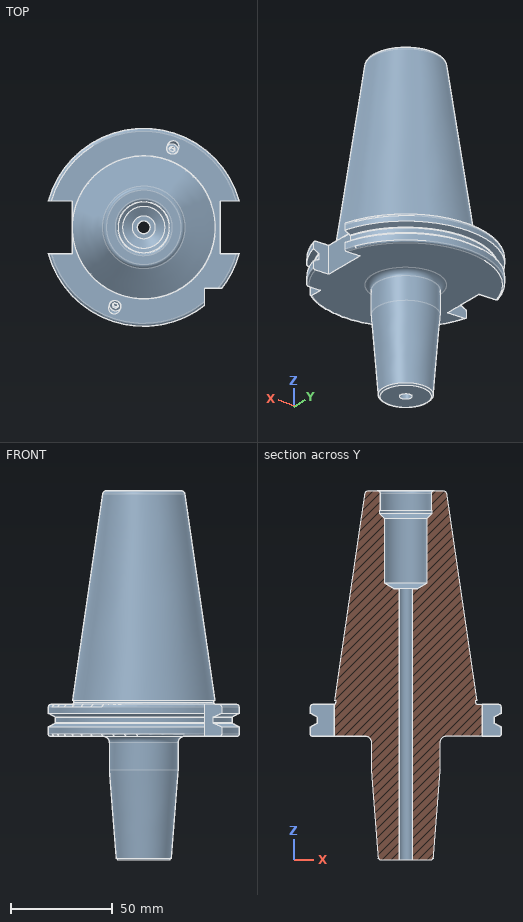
import cadquery as cq
import math

match_tolerance = 0.02

taper_length = 101.8
nose_length = 80.0
flange_top = -3.3
flange_bottom = -19.0
groove_middle = -11.0
neck_top = -1.5
cylinder_bottom = -35.6

gauge_radius = 34.9
taper_slope = 7 / 48
taper_end_fillet = 2.0
neck_radius = 34.5
neck_fillet = 0.7

flange_radius = 48.7
flange_top_fillet = 1.5
flange_bottom_fillet = 1.0
groove_depth = 3.3
groove_mouth_width = 6.7
groove_flank_angle = 30
groove_floor_fillet = 0.4

nose_root_radius = 34.0 / 2
nose_end_radius = 27.0 / 2
nose_root_fillet = 3.0
nose_end_chamfer = 0.9

slot_width = 25.8
slot_floor_left = 35.3
slot_floor_right = 37.6
notch_corner = 30.0

mouth_fillet = 1.5
pilot_radius = 12.5
pilot_depth = 9.8
relief_radius = 12.9
relief_width = 1.5
thread_radius = 10.4
thread_depth = 45.5
drill_radius = 5.6
through_radius = 3.0
drill_point_angle = 59

port_circle_radius = 41.8
port_angles = (70, 250)
port_tilt = 30
port_diameter = 5.8
port_depth = 1.6
plug_socket_size = 3.0
plug_socket_depth = 1.6


def taper_radius(z):
    return gauge_radius - taper_slope * z


def is_ring(edge, radius, z):
    """Whether an edge is the circle of the given radius at height z."""
    if edge.geomType() != "CIRCLE":
        return False
    same_radius = math.isclose(edge.radius(), radius, abs_tol=match_tolerance)
    same_height = math.isclose(edge.Center().z, z, abs_tol=match_tolerance)
    return same_radius and same_height


def make_body():
    groove_half_mouth = groove_mouth_width / 2
    groove_half_floor = groove_half_mouth - groove_depth * math.tan(math.radians(groove_flank_angle))
    groove_radius = flange_radius - groove_depth
    profile = (
        cq.Workplane("XZ")
        .moveTo(0, taper_length)
        .lineTo(taper_radius(taper_length), taper_length)
        .lineTo(taper_radius(neck_top), neck_top)
        .lineTo(neck_radius, neck_top)
        .lineTo(neck_radius, flange_top)
        .lineTo(flange_radius, flange_top)
        .lineTo(flange_radius, groove_middle + groove_half_mouth)
        .lineTo(groove_radius, groove_middle + groove_half_floor)
        .lineTo(groove_radius, groove_middle - groove_half_floor)
        .lineTo(flange_radius, groove_middle - groove_half_mouth)
        .lineTo(flange_radius, flange_bottom)
        .lineTo(nose_root_radius, flange_bottom)
        .lineTo(nose_root_radius, cylinder_bottom)
        .lineTo(nose_end_radius, -nose_length)
        .lineTo(0, -nose_length)
        .close()
    )
    body = profile.revolve(360, (0, 0, 0), (0, 1, 0))
    for radius, z, fillet in (
        (taper_radius(taper_length), taper_length, taper_end_fillet),
        (neck_radius, flange_top, neck_fillet),
        (flange_radius, flange_top, flange_top_fillet),
        (groove_radius, groove_middle + groove_half_floor, groove_floor_fillet),
        (groove_radius, groove_middle - groove_half_floor, groove_floor_fillet),
        (flange_radius, flange_bottom, flange_bottom_fillet),
        (nose_root_radius, flange_bottom, nose_root_fillet),
    ):
        ring = [edge for edge in body.edges().vals() if is_ring(edge, radius, z)]
        body = body.newObject(ring).fillet(fillet)
    return body.faces("<Z").edges().chamfer(nose_end_chamfer)


def make_bore():
    relief_bottom = taper_length - pilot_depth - relief_width
    step_cone_length = relief_radius - thread_radius
    point_length = (thread_radius - drill_radius) / math.tan(math.radians(drill_point_angle))
    profile = (
        cq.Workplane("XZ")
        .moveTo(0, taper_length)
        .lineTo(pilot_radius + mouth_fillet, taper_length)
        .radiusArc((pilot_radius, taper_length - mouth_fillet), -mouth_fillet)
        .lineTo(pilot_radius, taper_length - pilot_depth)
        .lineTo(relief_radius, taper_length - pilot_depth)
        .lineTo(relief_radius, relief_bottom)
        .lineTo(thread_radius, relief_bottom - step_cone_length)
        .lineTo(thread_radius, taper_length - thread_depth)
        .lineTo(drill_radius, taper_length - thread_depth - point_length)
        .lineTo(through_radius, taper_length - thread_depth - point_length)
        .lineTo(through_radius, -nose_length)
        .lineTo(0, -nose_length)
        .close()
    )
    return profile.revolve(360, (0, 0, 0), (0, 1, 0))


def make_flange_cut(center_x, center_y, width_y):
    """A block cutting through the full thickness of the flange."""
    block = cq.Workplane("XY", origin=(center_x, center_y, flange_bottom))
    return block.rect(flange_radius, width_y).extrude(flange_top - flange_bottom)


def make_port(angle):
    """A blind hole leaning toward the axis, with a hexagon socket in its floor."""
    tilt = math.radians(port_tilt)
    plane = cq.Plane(
        origin=(port_circle_radius, 0, flange_top),
        xDir=(0, 1, 0),
        normal=(math.sin(tilt), 0, math.cos(tilt)),
    )
    start_above_face = port_diameter * math.tan(tilt) / 2
    hole = (
        cq.Workplane(plane)
        .workplane(offset=-port_depth)
        .circle(port_diameter / 2)
        .extrude(port_depth + start_above_face)
    )
    socket = (
        cq.Workplane(plane)
        .workplane(offset=-port_depth)
        .polygon(6, plug_socket_size)
        .extrude(-plug_socket_depth)
    )
    return hole.union(socket).rotate((0, 0, 0), (0, 0, 1), angle)


half_block = flange_radius / 2
result = make_body().cut(make_bore())
result = result.cut(make_flange_cut(-slot_floor_left - half_block, 0, slot_width))
result = result.cut(make_flange_cut(slot_floor_right + half_block, 0, slot_width))
result = result.cut(make_flange_cut(notch_corner + half_block, -notch_corner - half_block, flange_radius))
for port_angle in port_angles:
    result = result.cut(make_port(port_angle))